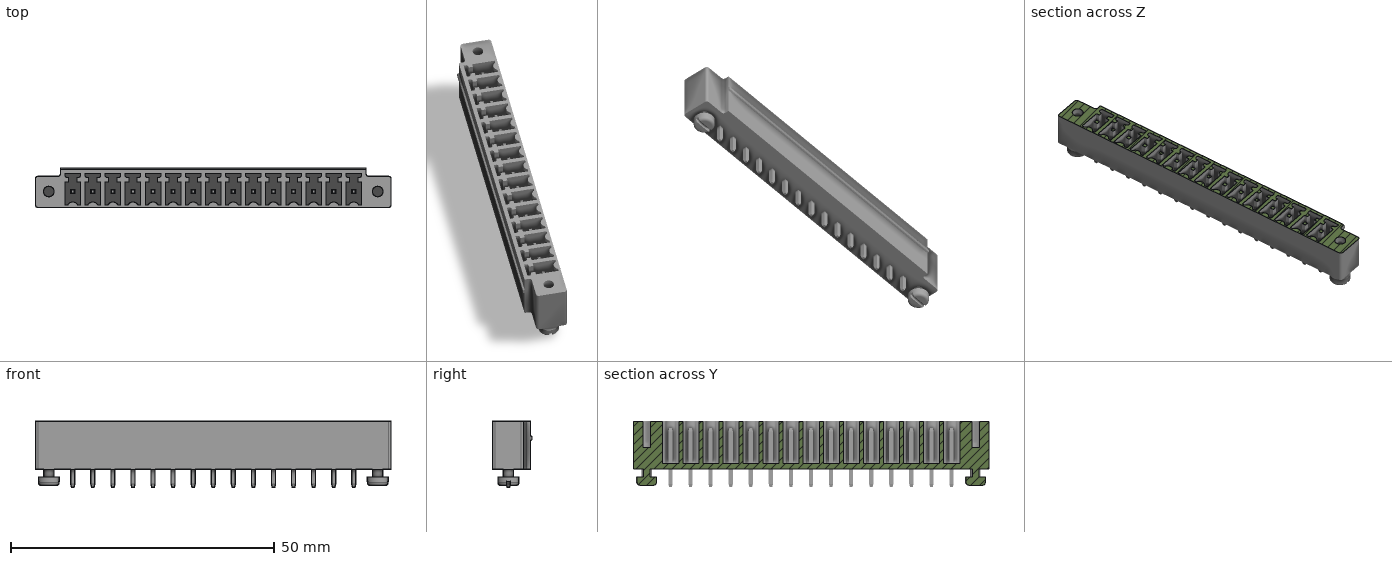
import cadquery as cq


PIN_COUNT = 15
PITCH = 3.81
ROW_LENGTH = (PIN_COUNT - 1) * PITCH
PIN_POSITIONS = [index * PITCH - ROW_LENGTH / 2 for index in range(PIN_COUNT)]

FLANGE_OVERHANG = 7.1
BODY_OVERHANG = 2.35
HOUSING_HEIGHT = 9.2
FRONT_Y = -3.05
BODY_DEPTH = 7.25
FLANGE_DEPTH = 5.95
BACK_Y = FRONT_Y + BODY_DEPTH
FLANGE_BACK_Y = FRONT_Y + FLANGE_DEPTH
CORNER_RADIUS = 0.5
HALF_LENGTH = ROW_LENGTH / 2 + FLANGE_OVERHANG
HALF_BODY_LENGTH = ROW_LENGTH / 2 + BODY_OVERHANG

RIB_DEPTH = 0.3
RIB_BASE_HEIGHT = 0.9
RIB_CREST_HEIGHT = 0.6
RIB_Z = HOUSING_HEIGHT - 3.25

POCKET_DEPTH = 8.0
POCKET_FLOOR_Z = HOUSING_HEIGHT - POCKET_DEPTH
POCKET_WIDTH = 2.95
FRONT_WALL = 0.45
POCKET_FRONT_Y = FRONT_Y + FRONT_WALL
NECK_WIDTH = 1.6
NECK_FRONT_Y = FRONT_Y + 4.85
NECK_BACK_Y = FRONT_Y + 5.7
POCKET_BACK_Y = FRONT_Y + 6.5
KEYWAY_CHAMFER = 0.25
BUMP_RADIUS = 1.1
BUMP_CREST_Y = FRONT_Y + 1.05

PIN_WIDTH = 0.8
PIN_TIP_WIDTH = 0.5
PIN_TAPER = 0.6
PIN_BOTTOM_Z = -3.4
PIN_TOP_Z = HOUSING_HEIGHT - 1.4

SCREW_OVERHANG = 4.55
SCREW_X = ROW_LENGTH / 2 + SCREW_OVERHANG
SCREW_DIAMETER = 2.0
HEAD_DIAMETER = 4.0
HEAD_TOP_Z = -1.4
HEAD_HEIGHT = 1.65
HEAD_FILLET = 0.55
DRIVER_SLOT_WIDTH = 0.65
DRIVER_SLOT_DEPTH = 0.8
THREAD_HOLE_DEPTH = 5.0


def box(x_size, y_min, y_max, z_min, z_max):
    """Box centred on X = 0 between the given Y and Z limits."""
    return cq.Workplane("XY").box(
        x_size, y_max - y_min, z_max - z_min, centered=(True, False, False)
    ).translate((0, y_min, z_min))


def make_housing():
    """Central body with lower end flanges, with the vertical corners at the ends rounded."""
    flanges = box(2 * HALF_LENGTH, FRONT_Y, FLANGE_BACK_Y, 0, HOUSING_HEIGHT)
    body = box(2 * HALF_BODY_LENGTH, FRONT_Y, BACK_Y, 0, HOUSING_HEIGHT)
    housing = flanges.union(body)
    flange_corners = housing.edges("|Z").edges("<X or >X")
    housing = flange_corners.fillet(CORNER_RADIUS)
    inner_corners = cq.selectors.BoxSelector(
        (-HALF_BODY_LENGTH - CORNER_RADIUS / 2, FLANGE_BACK_Y - CORNER_RADIUS / 2, 0),
        (HALF_BODY_LENGTH + CORNER_RADIUS / 2, FLANGE_BACK_Y + CORNER_RADIUS / 2, HOUSING_HEIGHT),
    )
    housing = housing.edges("|Z").edges(inner_corners).fillet(CORNER_RADIUS)
    rib = (
        cq.Workplane("YZ", origin=(-HALF_BODY_LENGTH, BACK_Y, RIB_Z))
        .moveTo(0, -RIB_BASE_HEIGHT / 2)
        .lineTo(RIB_DEPTH, -RIB_CREST_HEIGHT / 2)
        .lineTo(RIB_DEPTH, RIB_CREST_HEIGHT / 2)
        .lineTo(0, RIB_BASE_HEIGHT / 2)
        .close()
        .extrude(2 * HALF_BODY_LENGTH)
    )
    return housing.union(rib)


def make_pocket():
    """Cutter for one plug pocket: main chamber, narrow neck and T-shaped keyway."""
    chamber = box(POCKET_WIDTH, POCKET_FRONT_Y, NECK_FRONT_Y, POCKET_FLOOR_Z, HOUSING_HEIGHT)
    neck = box(NECK_WIDTH, NECK_FRONT_Y, NECK_BACK_Y, POCKET_FLOOR_Z, HOUSING_HEIGHT)
    keyway = box(POCKET_WIDTH, NECK_BACK_Y, POCKET_BACK_Y, POCKET_FLOOR_Z, HOUSING_HEIGHT)
    keyway = keyway.edges("|Z and <Y").chamfer(KEYWAY_CHAMFER)
    bump = (
        cq.Workplane("XY", origin=(0, BUMP_CREST_Y - BUMP_RADIUS, POCKET_FLOOR_Z))
        .circle(BUMP_RADIUS)
        .extrude(POCKET_DEPTH)
    )
    return chamber.union(neck).union(keyway).cut(bump)


def make_pin():
    """Square pin, tapered at both ends."""
    shank_bottom_z = PIN_BOTTOM_Z + PIN_TAPER
    shank_top_z = PIN_TOP_Z - PIN_TAPER
    shank = box(PIN_WIDTH, -PIN_WIDTH / 2, PIN_WIDTH / 2, shank_bottom_z, shank_top_z)
    upper_tip = (
        cq.Workplane("XY", origin=(0, 0, shank_top_z))
        .rect(PIN_WIDTH, PIN_WIDTH)
        .workplane(offset=PIN_TAPER)
        .rect(PIN_TIP_WIDTH, PIN_TIP_WIDTH)
        .loft()
    )
    lower_tip = (
        cq.Workplane("XY", origin=(0, 0, PIN_BOTTOM_Z))
        .rect(PIN_TIP_WIDTH, PIN_TIP_WIDTH)
        .workplane(offset=PIN_TAPER)
        .rect(PIN_WIDTH, PIN_WIDTH)
        .loft()
    )
    return shank.union(upper_tip).union(lower_tip)


def make_screw():
    """Slotted screw hanging below a flange, its driver slot along X."""
    head_bottom_z = HEAD_TOP_Z - HEAD_HEIGHT
    shank = (
        cq.Workplane("XY", origin=(0, 0, HEAD_TOP_Z))
        .circle(SCREW_DIAMETER / 2)
        .extrude(-HEAD_TOP_Z)
    )
    head = (
        cq.Workplane("XY", origin=(0, 0, head_bottom_z))
        .circle(HEAD_DIAMETER / 2)
        .extrude(HEAD_HEIGHT)
        .faces("<Z").edges().fillet(HEAD_FILLET)
    )
    slot = box(
        HEAD_DIAMETER, -DRIVER_SLOT_WIDTH / 2, DRIVER_SLOT_WIDTH / 2,
        head_bottom_z, head_bottom_z + DRIVER_SLOT_DEPTH,
    )
    return shank.union(head.cut(slot))


def copies_along_row(feature, x_positions):
    """Compound of the feature repeated at each X position."""
    shape = feature.val()
    return cq.Workplane(cq.Compound.makeCompound(
        [shape.moved(cq.Location(cq.Vector(x, 0, 0))) for x in x_positions]
    ))


def make_thread_hole():
    """Cutter for the blind hole in the top of a flange."""
    return (
        cq.Workplane("XY", origin=(0, 0, HOUSING_HEIGHT))
        .circle(SCREW_DIAMETER / 2)
        .extrude(-THREAD_HOLE_DEPTH)
    )


screw_positions = [-SCREW_X, SCREW_X]

result = make_housing()
result = result.cut(copies_along_row(make_pocket(), PIN_POSITIONS))
result = result.cut(copies_along_row(make_thread_hole(), screw_positions))
result = result.union(copies_along_row(make_pin(), PIN_POSITIONS))
result = result.union(copies_along_row(make_screw(), screw_positions))